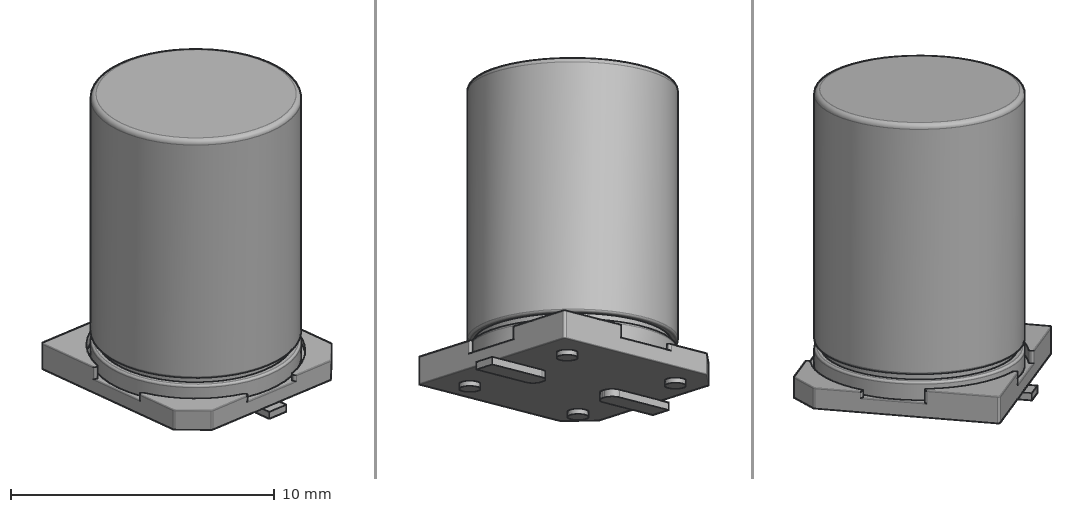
import cadquery as cq

total_height = 12.0
lead_span = 9.0
base_width = 8.3

lead_width = 0.9
lead_thickness = 0.3
lead_inner_end = 1.57
lead_end_radius = 0.4

foot_diameter = 0.8
foot_bottom = 0.1
foot_offset = 2.76

base_bottom = lead_thickness
floor_height = 0.9
tall_corner_top = 1.4
low_corner_top = 1.15
corner_radius = 0.1
edge_radius = 0.03
corner_chamfer = 1.03
bore_radius = 4.15
notch_half_width = 1.2
tip_radius = corner_radius

can_diameter = 8.0
neck_diameter = 7.5
neck_bottom = 1.65
neck_top = 1.91
groove_edge_radius = 0.1
top_edge_radius = 0.2


def base_block(top):
    """Base block with its +X corners chamfered and all its edges rounded."""
    return (
        cq.Workplane("XY", origin=(0, 0, base_bottom))
        .rect(base_width, base_width)
        .extrude(top - base_bottom)
        .edges("|Z and >X")
        .chamfer(corner_chamfer)
        .edges("|Z")
        .fillet(corner_radius)
        .faces("<Z or >Z")
        .edges()
        .fillet(edge_radius)
    )


def corner_region(side_x, side_y, top):
    """Corner of the base left between the bore and two notches, with rounded tips.

    It starts below the rounded floor edge, so no groove is left under it.
    """
    reach = base_width / 2 - notch_half_width
    center_offset = notch_half_width + reach / 2
    bottom = floor_height - edge_radius
    height = top - bottom
    bore = cq.Workplane("XY", origin=(0, 0, bottom)).circle(bore_radius).extrude(height)
    region = (
        cq.Workplane("XY", origin=(0, 0, bottom))
        .center(side_x * center_offset, side_y * center_offset)
        .rect(reach, reach)
        .extrude(height)
        .cut(bore)
    )
    for axis, side in (("X", side_x), ("Y", side_y)):
        notch_face = ("<" if side > 0 else ">") + axis
        region = region.faces(notch_face).edges("|Z").fillet(tip_radius)
    return region


def make_base():
    """Base plate with four raised corners: two tall at -X, two low at +X."""
    base = base_block(floor_height)
    for side_x, top in ((-1, tall_corner_top), (1, low_corner_top)):
        for side_y in (-1, 1):
            corner = base_block(top).intersect(corner_region(side_x, side_y, top))
            base = base.union(corner)
    return base


def make_can():
    """Closed can standing on the bore floor, with a crimped neck near its foot."""
    foot = (
        cq.Workplane("XY", origin=(0, 0, floor_height))
        .circle(can_diameter / 2)
        .extrude(neck_bottom - floor_height)
        .faces(">Z")
        .edges()
        .fillet(groove_edge_radius)
    )
    neck = (
        cq.Workplane("XY", origin=(0, 0, floor_height))
        .circle(neck_diameter / 2)
        .extrude(neck_top - floor_height)
    )
    body = (
        cq.Workplane("XY", origin=(0, 0, neck_top))
        .circle(can_diameter / 2)
        .extrude(total_height - neck_top)
        .faces(">Z")
        .edges()
        .fillet(top_edge_radius)
        .faces("<Z")
        .edges()
        .fillet(groove_edge_radius)
    )
    return foot.union(neck).union(body)


def make_lead(side):
    """Flat lead from under the base out past its side, rounded at the inner end."""
    length = lead_span / 2 - lead_inner_end
    inner_face = "<X" if side > 0 else ">X"
    return (
        cq.Workplane("XY")
        .center(side * (lead_inner_end + length / 2), 0)
        .rect(length, lead_width)
        .extrude(lead_thickness)
        .faces(inner_face)
        .edges("|Z")
        .fillet(lead_end_radius)
    )


def make_feet():
    """Four round feet in a square under the base."""
    spacing = 2 * foot_offset
    return (
        cq.Workplane("XY", origin=(0, 0, foot_bottom))
        .rect(spacing, spacing, forConstruction=True)
        .vertices()
        .circle(foot_diameter / 2)
        .extrude(base_bottom - foot_bottom)
    )


result = make_base().union(make_can()).union(make_feet())
for lead_side in (-1, 1):
    result = result.union(make_lead(lead_side))